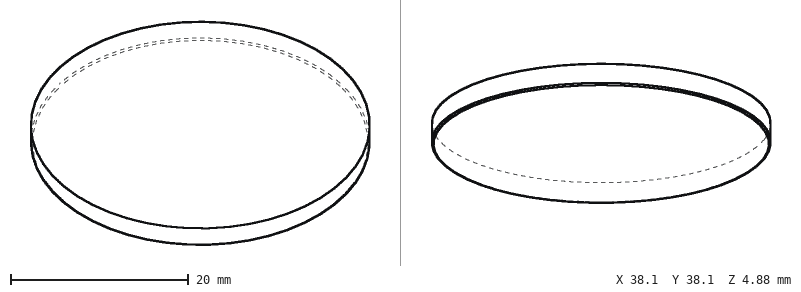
import cadquery as cq
import math

diameter = 38.1
edge_thickness = 2.5
dome_radius = 77.3
base_chamfer = 0.2

rim_radius = diameter / 2
dome_height = dome_radius - math.sqrt(dome_radius**2 - rim_radius**2)
center_thickness = edge_thickness + dome_height

half_angle = math.asin(rim_radius / dome_radius) / 2
dome_mid_x = dome_radius * math.sin(half_angle)
dome_mid_z = center_thickness - dome_radius * (1 - math.cos(half_angle))


def lens_profile():
    """Radial half section, from the axis out to the rim and back over the dome."""
    return (
        cq.Workplane("XZ")
        .moveTo(0, 0)
        .lineTo(rim_radius - base_chamfer, 0)
        .lineTo(rim_radius, base_chamfer)
        .lineTo(rim_radius, edge_thickness)
        .threePointArc((dome_mid_x, dome_mid_z), (0, center_thickness))
        .close()
    )


result = lens_profile().revolve(360, (0, 0, 0), (0, 1, 0))